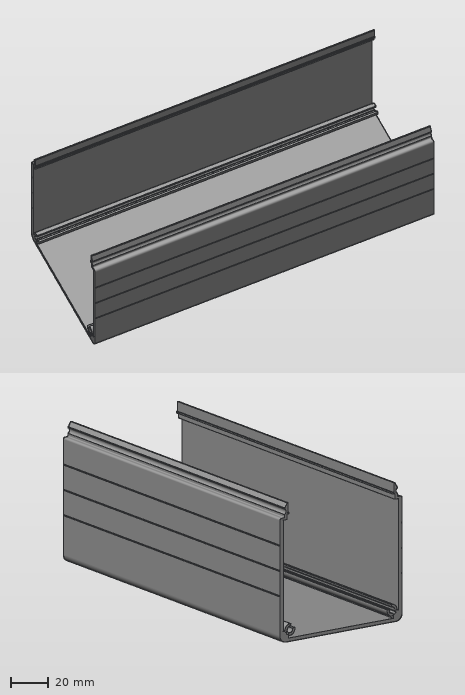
import cadquery as cq
import math

width = 80.0
length = 200.0
height = 77.0

wall = 2.5
floor = 2.0
bottom_radius = 4.0
wall_top = 69.0
top_radius = 1.2

shelf_bottom = 67.8
neck_inner_x = 35.2
neck_fillet = 0.5
barb_bottom = 70.8
barb_top = 71.5
barb_inner_x = 34.0
stem_inner_x = 34.5
bead_outer_x = 36.8
bead_bottom = 73.8
bead_top = 74.5
bead_groove_depth = 0.8
tip_width = 0.5

channel_x = 33.5
channel_z = 6.5
channel_outer_radius = 3.2
channel_inner_radius = 1.8
opening_start = 12.0
opening_end = 80.0
web_top = 6.2
web_inner_x = 34.2
relief_width = 1.8
relief_reach = 2.8
relief_angle = -45.0

score_middle_z = 40.0
score_pitch = 14.0
score_width = 0.5
score_depth = 0.2

half_width = width / 2
wall_inner_x = half_width - wall
neck_outer_x = wall_inner_x - neck_fillet


def section():
    """Sketch plane on the front end, with local X and Y along global X and Z."""
    return cq.Workplane("XZ", origin=(0, -length / 2, 0))


def extrude(sketch):
    """Run a closed section along the full length."""
    return sketch.extrude(-length)


def channel_base():
    """Floor with the two plain walls and rounded outer corners."""
    outer = extrude(section().rect(width, wall_top, centered=(True, False)))
    outer = outer.edges("|Y and <Z").fillet(bottom_radius)
    outer = outer.edges("|Y and >Z").fillet(top_radius)
    cavity = extrude(
        section()
        .center(0, floor)
        .rect(2 * wall_inner_x, wall_top, centered=(True, False))
    )
    return outer.cut(cavity)


def snap_lip():
    """Inward shelf, neck, barb and bead at the top of the +X wall."""
    groove_middle_z = (barb_bottom + bead_bottom) / 2
    return extrude(
        section()
        .moveTo(wall_inner_x, shelf_bottom)
        .lineTo(neck_inner_x, shelf_bottom)
        .lineTo(neck_inner_x, barb_bottom)
        .lineTo(barb_inner_x, barb_bottom)
        .lineTo(barb_inner_x, barb_top)
        .lineTo(stem_inner_x, barb_top)
        .lineTo(stem_inner_x, height)
        .lineTo(stem_inner_x + tip_width, height)
        .lineTo(bead_outer_x, bead_top)
        .lineTo(bead_outer_x, bead_bottom)
        .threePointArc(
            (bead_outer_x - bead_groove_depth, groove_middle_z),
            (neck_outer_x, barb_bottom),
        )
        .lineTo(neck_outer_x, wall_top + neck_fillet)
        .radiusArc((wall_inner_x, wall_top), -neck_fillet)
        .close()
    )


def screw_channel():
    """Open ring joined to the +X bottom corner by a solid web."""
    ring = extrude(section().center(channel_x, channel_z).circle(channel_outer_radius))

    web_x = wall_inner_x - web_inner_x
    web_z = web_top - floor
    web = extrude(section().center(web_inner_x, floor).rect(web_x, web_z, centered=False))

    bore = extrude(section().center(channel_x, channel_z).circle(channel_inner_radius))
    relief = extrude(
        section()
        .center(channel_x, channel_z)
        .transformed(rotate=(0, 0, relief_angle))
        .rect(relief_reach, relief_width, centered=(False, True))
    )

    reach = 2 * channel_outer_radius
    start = math.radians(opening_start)
    end = math.radians(opening_end)
    mouth = extrude(
        section()
        .center(channel_x, channel_z)
        .lineTo(-reach * math.cos(start), reach * math.sin(start))
        .lineTo(-reach * math.cos(end), reach * math.sin(end))
        .close()
    )
    return ring.union(web).cut(bore).cut(relief).cut(mouth)


def score_lines():
    """V-shaped scores on the outer face of the +X wall."""
    scores = cq.Workplane("XZ")
    for step in (-1, 0, 1):
        z = score_middle_z + step * score_pitch
        score = extrude(
            section()
            .moveTo(half_width, z - score_width / 2)
            .lineTo(half_width - score_depth, z)
            .lineTo(half_width, z + score_width / 2)
            .close()
        )
        scores = scores.add(score)
    return scores.combine()


def both_sides(feature):
    """Pair a +X feature with its mirror image on the -X side."""
    return feature.union(feature.mirror("YZ"))


result = channel_base()
result = result.union(both_sides(snap_lip()))
result = result.union(both_sides(screw_channel()))
result = result.cut(both_sides(score_lines()))